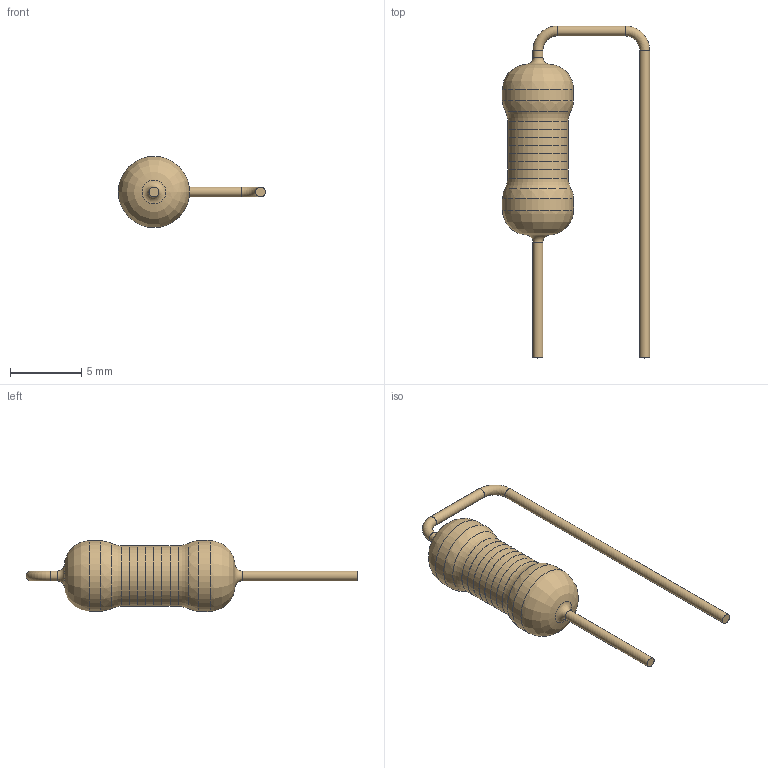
import cadquery as cq
import math


body_length = 12.0
cap_diameter = 5.0
waist_diameter = 4.25
dome_radius = 1.75
cap_inner_y = 3.43
waist_half_length = 2.0

band_diameter = 4.27
band_count = 4
band_width = 2 * waist_half_length / (2 * band_count - 1)

lead_diameter = 0.7
lead_pitch = 7.5
lead_end_y = -14.65
lead_span = 23.0
bend_radius = 1.35
flare_radius = 0.5

cap_radius = cap_diameter / 2
waist_radius = waist_diameter / 2
lead_radius = lead_diameter / 2
body_end_y = body_length / 2
dome_center_r = cap_radius - dome_radius
dome_center_y = body_end_y - dome_radius
cross_y = lead_end_y + lead_span

flare_center_r = lead_radius + flare_radius
center_distance = dome_radius + flare_radius
center_offset_r = flare_center_r - dome_center_r
center_offset_y = math.sqrt(center_distance**2 - center_offset_r**2)
flare_end_y = dome_center_y + center_offset_y
flare_touch_r = dome_center_r + center_offset_r * dome_radius / center_distance
flare_touch_y = dome_center_y + center_offset_y * dome_radius / center_distance

mid_r = (cap_radius + waist_radius) / 2
mid_y = (cap_inner_y + waist_half_length) / 2


def body_with_front_lead():
    """Body revolved about Y in one piece with the straight front lead."""
    return (
        cq.Workplane("XY")
        .moveTo(0, lead_end_y)
        .lineTo(lead_radius, lead_end_y)
        .lineTo(lead_radius, -flare_end_y)
        .tangentArcPoint((flare_touch_r, -flare_touch_y), relative=False)
        .tangentArcPoint((cap_radius, -dome_center_y), relative=False)
        .lineTo(cap_radius, -cap_inner_y)
        .tangentArcPoint((mid_r, -mid_y), relative=False)
        .tangentArcPoint((waist_radius, -waist_half_length), relative=False)
        .lineTo(waist_radius, waist_half_length)
        .tangentArcPoint((mid_r, mid_y), relative=False)
        .tangentArcPoint((cap_radius, cap_inner_y), relative=False)
        .lineTo(cap_radius, dome_center_y)
        .tangentArcPoint((flare_touch_r, flare_touch_y), relative=False)
        .tangentArcPoint((lead_radius, flare_end_y), relative=False)
        .lineTo(0, flare_end_y)
        .close()
        .revolve(360, (0, 0, 0), (0, 1, 0))
    )


def color_band(index):
    """Slightly raised ring around the waist."""
    start_y = -waist_half_length + 2 * index * band_width
    return (
        cq.Workplane("XZ", origin=(0, start_y, 0))
        .circle(band_diameter / 2)
        .extrude(-band_width)
    )


def folded_lead():
    """Rear lead: out of the body, across, and back parallel to the body."""
    path = (
        cq.Workplane("XY")
        .moveTo(0, body_end_y)
        .lineTo(0, cross_y - bend_radius)
        .tangentArcPoint((bend_radius, cross_y), relative=False)
        .lineTo(lead_pitch - bend_radius, cross_y)
        .tangentArcPoint((lead_pitch, cross_y - bend_radius), relative=False)
        .lineTo(lead_pitch, lead_end_y)
    )
    section = cq.Workplane("XZ", origin=(0, body_end_y, 0)).circle(lead_radius)
    return section.sweep(path)


result = body_with_front_lead().union(folded_lead())

for band_index in range(band_count):
    result = result.union(color_band(band_index))